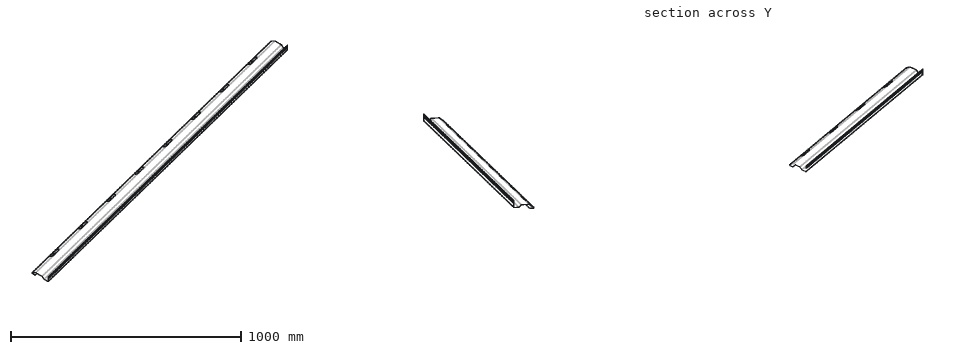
import cadquery as cq
import math

LENGTH = 1690.0
WIDTH = 91.0
HEIGHT = 40.0
SHEET = 1.4

SLOPE_ANGLE = math.radians(36)
STEP_ANGLE = math.radians(45)
BEND_RADIUS = 3.0
LIP_END_X = 19.0
FLOOR_Z = 9.1
STEP_DROP = 10.8
PLATEAU_Z = FLOOR_Z + STEP_DROP
PLATEAU_WIDTH = 35.0

WINDOW_COUNT = 8
WINDOW_LENGTH = 52.0
WINDOW_WIDTH = 15.0
WINDOW_X_MIN = 4.2
WINDOW_CORNER = 7.0
WINDOW_END_MARGIN = 145.0
WINDOW_PITCH = (LENGTH - 2 * WINDOW_END_MARGIN) / (WINDOW_COUNT - 1)
SCREW_HOLE_DIAMETER = 10.0
SCREW_HOLE_X = 12.0

SLOT_COUNT = 196
SLOT_END_MARGIN = 3.7
SLOT_GAP_BOTTOM = 0.7
SLOT_GAP_TOP = 2.5
SLOT_PITCH = (LENGTH - 2 * SLOT_END_MARGIN + SLOT_GAP_BOTTOM) / SLOT_COUNT
SLOT_Z_MIN = 27.0
SLOT_HEIGHT = 8.8

CUT_DEPTH = 2 * SHEET


def offset_path(points, distance):
    """Shift an open path to the right of its direction, mitring its corners."""
    headings = [math.atan2(b[1] - a[1], b[0] - a[0]) for a, b in zip(points, points[1:])]
    before = [headings[0]] + headings
    after = headings + [headings[-1]]
    shifted = []
    for (x, z), start, end in zip(points, before, after):
        middle = (start + end) / 2
        reach = distance / math.cos((end - start) / 2)
        shifted.append((x + reach * math.sin(middle), z - reach * math.cos(middle)))
    return shifted


def round_edge(body, corner, radius):
    """Fillet the lengthwise edge at an (x, z) corner of the cross-section."""
    x, z = corner
    nearest = cq.selectors.NearestToPointSelector((x, 0, z))
    return body.edges("|Y").edges(nearest).fillet(radius)


def make_strip():
    """Bend the sheet into lip, slope, plateau, step, floor and upright wall."""
    fold_x = BEND_RADIUS - BEND_RADIUS * math.tan((math.pi - SLOPE_ANGLE) / 2)
    slope_top_x = fold_x + PLATEAU_Z / math.tan(SLOPE_ANGLE)
    step_top_x = slope_top_x + PLATEAU_WIDTH
    step_bottom_x = step_top_x + STEP_DROP / math.tan(STEP_ANGLE)
    wall_x = WIDTH - SHEET
    face = [
        (LIP_END_X, 0),
        (fold_x, 0),
        (slope_top_x, PLATEAU_Z),
        (step_top_x, PLATEAU_Z),
        (step_bottom_x, FLOOR_Z),
        (wall_x, FLOOR_Z),
        (wall_x, HEIGHT),
    ]
    back = offset_path(face, SHEET)
    strip = cq.Workplane("XZ").polyline(face + back[::-1]).close().extrude(LENGTH / 2, both=True)

    fold, slope_top, step_top, step_bottom, wall_foot = range(1, 6)
    for bend in (fold, slope_top, step_top):
        strip = round_edge(strip, face[bend], BEND_RADIUS)
        strip = round_edge(strip, back[bend], BEND_RADIUS - SHEET)
    for bend in (step_bottom, wall_foot):
        strip = round_edge(strip, face[bend], BEND_RADIUS - SHEET)
        strip = round_edge(strip, back[bend], BEND_RADIUS)
    return strip


def window_cutters():
    """Rounded blocks that open the slope but stay above the lip."""
    return (
        cq.Workplane("XY", origin=(WINDOW_X_MIN + WINDOW_WIDTH / 2, 0, CUT_DEPTH))
        .rarray(17, WINDOW_PITCH, 1, WINDOW_COUNT)
        .rect(WINDOW_WIDTH, WINDOW_LENGTH)
        .extrude(PLATEAU_Z)
        .edges("|Z")
        .fillet(WINDOW_CORNER)
    )


def screw_hole_cutters():
    """Round holes through the lip, one below each window."""
    return (
        cq.Workplane("XY", origin=(SCREW_HOLE_X, 0, 0))
        .rarray(17, WINDOW_PITCH, 1, WINDOW_COUNT)
        .circle(SCREW_HOLE_DIAMETER / 2)
        .extrude(CUT_DEPTH)
    )


def wall_slot_cutters():
    """Flat-bottomed slots through the wall that taper upwards."""
    half_bottom = (SLOT_PITCH - SLOT_GAP_BOTTOM) / 2
    half_top = (SLOT_PITCH - SLOT_GAP_TOP) / 2
    corners = [
        (-half_bottom, 0),
        (half_bottom, 0),
        (half_top, SLOT_HEIGHT),
        (-half_top, SLOT_HEIGHT),
    ]
    slot = cq.Sketch().polygon(corners + corners[:1])
    return (
        cq.Workplane("YZ", origin=(WIDTH, 0, SLOT_Z_MIN))
        .rarray(SLOT_PITCH, 17, SLOT_COUNT, 1)
        .placeSketch(slot)
        .extrude(-CUT_DEPTH)
    )


result = make_strip().cut(window_cutters()).cut(screw_hole_cutters()).cut(wall_slot_cutters())